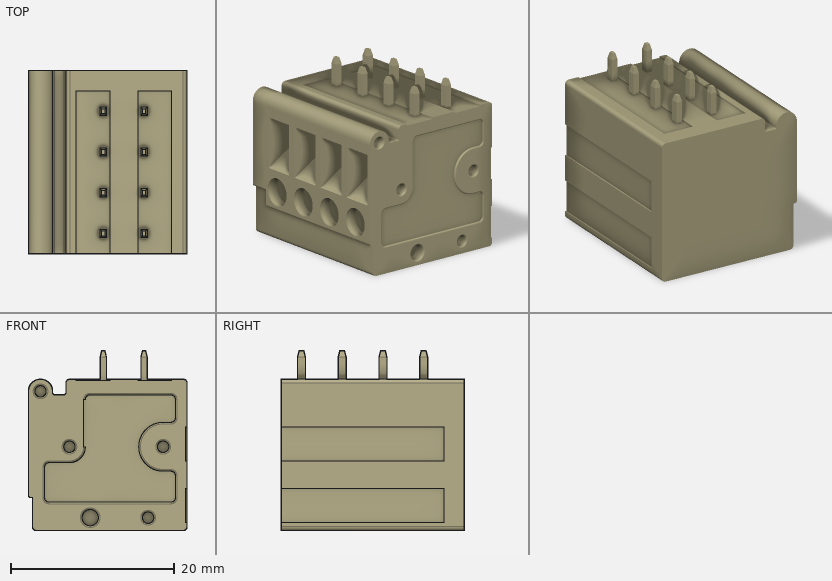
import cadquery as cq
import math

body_width = 19.5
body_length = 22.5
body_height = 18.6
edge_radius = 0.5

rim_radius = 1.5
rim_center_z = body_height - rim_radius
groove_right_x = 4.6
groove_floor_z = 16.7
groove_fillet = 0.2

step_depth = 0.5
step_z = 4.05
step_fillet = 0.3
end_plate_thickness = 2.5
end_step_z = 6.1
module_length = body_length - end_plate_thickness

pole_count = 4
pole_pitch = 5.0

pin_offset = pole_pitch / 2
pin_rows_x = (9.2, 14.2)
pin_size_x = 0.8
pin_size_y = 1.0
pin_top_z = 22.1
pin_tip_height = 0.8
pin_tip_inset = 0.2

panel_depth = 0.2
panel_width = 4.15
top_panels_x = (5.85, 13.45)
back_panels_z = (1.0, 8.55)

pocket_width = 3.95
pocket_offset = 2.475
pocket_depth = 4.2
pocket_bottom_z = 9.2
pocket_top_z = 15.75
pocket_floor_angle = 30
pocket_roof_angle = 9

wire_hole_diameter = 3.6
wire_hole_depth = 1.5
wire_hole_offset = 2.8
wire_hole_z = 6.45

socket_depth = 1.5
socket_rounding = 0.2
small_socket_diameter = 1.4
large_socket_diameter = 2.0
left_socket = (5.05, 10.3)
right_socket = (16.55, 10.3)
rim_socket = (rim_radius, rim_center_z)
lower_socket = (14.7, 1.6)
large_socket = (7.6, 1.6)

recess_depth = 0.22
recess_rounding = 0.2
recess_corner = 0.75
recess_left = 1.8
recess_right = 18.25
recess_bottom = 3.3
recess_top = 16.85
left_pad_radius = 1.75
right_pad_radius = 2.8


def make_profile_block(start_y, end_y, lower_step_z):
    """Housing cross-section extruded between two Y positions."""
    rim_right_x = 2 * rim_radius
    block = (
        cq.Workplane("XZ", origin=(0, start_y, 0))
        .moveTo(step_depth, 0)
        .lineTo(body_width, 0)
        .lineTo(body_width, body_height)
        .lineTo(groove_right_x, body_height)
        .lineTo(groove_right_x, groove_floor_z)
        .lineTo(rim_right_x, groove_floor_z)
        .lineTo(rim_right_x, rim_center_z)
        .threePointArc((rim_radius, body_height), (0, rim_center_z))
        .lineTo(0, lower_step_z)
        .lineTo(step_depth, lower_step_z)
        .close()
        .extrude(start_y - end_y)
    )
    mid_y = (start_y + end_y) / 2

    def fillet_edge(solid, x, z, radius):
        edge = cq.selectors.NearestToPointSelector((x, mid_y, z))
        return solid.edges("|Y").edges(edge).fillet(radius)

    for x, z in ((step_depth, 0), (body_width, 0), (body_width, body_height), (groove_right_x, body_height)):
        block = fillet_edge(block, x, z, edge_radius)
    for x in (rim_right_x, groove_right_x):
        block = fillet_edge(block, x, groove_floor_z, groove_fillet)
    return fillet_edge(block, 0, lower_step_z, step_fillet)


def make_housing():
    module = make_profile_block(0, module_length, step_z)
    end_plate = make_profile_block(module_length, body_length, end_step_z)
    return module.union(end_plate)


def make_panel(corner, size_x, size_z):
    """Shallow slot open at the -Y end and stopping at the end plate."""
    return cq.Workplane(origin=corner).box(size_x, module_length, size_z, centered=False)


def cut_panels(part):
    for x in top_panels_x:
        part = part.cut(make_panel((x, 0, body_height - panel_depth), panel_width, panel_depth))
    for z in back_panels_z:
        part = part.cut(make_panel((body_width - panel_depth, 0, z), panel_depth, panel_width))
    return part


def make_pocket(center_y):
    """Funnel-shaped pocket: sloped floor and roof, vertical back wall."""
    floor_rise = pocket_depth * math.tan(math.radians(pocket_floor_angle))
    roof_drop = pocket_depth * math.tan(math.radians(pocket_roof_angle))
    return (
        cq.Workplane("XZ", origin=(0, center_y, 0))
        .moveTo(0, pocket_bottom_z)
        .lineTo(pocket_depth, pocket_bottom_z + floor_rise)
        .lineTo(pocket_depth, pocket_top_z - roof_drop)
        .lineTo(0, pocket_top_z)
        .close()
        .extrude(pocket_width / 2, both=True)
    )


def make_wire_hole(center_y):
    return (
        cq.Workplane("YZ")
        .center(center_y, wire_hole_z)
        .circle(wire_hole_diameter / 2)
        .extrude(wire_hole_depth)
    )


def make_pin(center_x, center_y):
    shank_bottom_z = body_height - panel_depth
    shank_height = pin_top_z - pin_tip_height - shank_bottom_z
    shank = (
        cq.Workplane(origin=(center_x, center_y, shank_bottom_z))
        .rect(pin_size_x, pin_size_y)
        .extrude(shank_height)
    )
    tip = (
        shank.faces(">Z")
        .workplane()
        .rect(pin_size_x, pin_size_y)
        .workplane(offset=pin_tip_height)
        .rect(pin_size_x - 2 * pin_tip_inset, pin_size_y - 2 * pin_tip_inset)
        .loft(combine=False)
    )
    return shank.union(tip)


def make_socket(center, diameter):
    """Blind round socket with a rounded mouth, revolved about its Y axis."""
    x, z = center
    radius = diameter / 2
    mouth_radius = radius + socket_rounding
    arc_reach = socket_rounding * math.sqrt(0.5)
    return (
        cq.Workplane("XY", origin=(x, 0, z))
        .lineTo(mouth_radius, 0)
        .threePointArc((mouth_radius - arc_reach, socket_rounding - arc_reach), (radius, socket_rounding))
        .lineTo(radius, socket_depth)
        .lineTo(0, socket_depth)
        .close()
        .revolve(360, (0, 0, 0), (0, 1, 0))
    )


def recess_outline(inset):
    """Recess outline on the -Y end face, shrunk inwards from the rim by inset."""
    corner = recess_corner - inset
    left = recess_left + inset
    right = recess_right - inset
    bottom = recess_bottom + inset
    top = recess_top - inset
    left_pad = left_pad_radius + inset
    right_pad = right_pad_radius + inset
    left_x, left_z = left_socket
    right_x, right_z = right_socket
    shoulder_z = left_z - left_pad
    neck_x = left_x + left_pad
    diagonal = math.sqrt(0.5)
    shift = corner * (1 - diagonal)
    return (
        cq.Workplane("XZ")
        .moveTo(left + corner, bottom)
        .lineTo(right - corner, bottom)
        .threePointArc((right - shift, bottom + shift), (right, bottom + corner))
        .lineTo(right, right_z - right_pad - corner)
        .threePointArc(
            (right - shift, right_z - right_pad - shift), (right - corner, right_z - right_pad)
        )
        .lineTo(right_x, right_z - right_pad)
        .threePointArc((right_x - right_pad, right_z), (right_x, right_z + right_pad))
        .lineTo(right - corner, right_z + right_pad)
        .threePointArc(
            (right - shift, right_z + right_pad + shift), (right, right_z + right_pad + corner)
        )
        .lineTo(right, top - corner)
        .threePointArc((right - shift, top - shift), (right - corner, top))
        .lineTo(neck_x + corner, top)
        .threePointArc((neck_x + shift, top - shift), (neck_x, top - corner))
        .lineTo(neck_x, left_z)
        .threePointArc((left_x + left_pad * diagonal, left_z - left_pad * diagonal), (left_x, shoulder_z))
        .lineTo(left + corner, shoulder_z)
        .threePointArc((left + shift, shoulder_z - shift), (left, shoulder_z - corner))
        .lineTo(left, bottom + corner)
        .threePointArc((left + shift, bottom + shift), (left + corner, bottom))
        .close()
    )


def cut_recess(part):
    """Recess with a rounded rim; its straight wall beside the left socket is square instead."""
    part = part.cut(recess_outline(recess_rounding).extrude(-recess_depth))
    rim_point = ((recess_left + recess_right) / 2, 0, recess_bottom + recess_rounding)
    part = part.edges(cq.selectors.NearestToPointSelector(rim_point)).fillet(recess_rounding)
    wall_x = left_socket[0] + left_pad_radius
    wall_height = recess_top - recess_corner - left_socket[1]
    square_wall = (
        cq.Workplane(origin=(wall_x, 0, left_socket[1]))
        .box(recess_rounding, recess_depth, wall_height, centered=False)
    )
    return part.cut(square_wall)


result = cut_panels(make_housing())
result = cut_recess(result)

for pole in range(pole_count):
    pin_y = pin_offset + pole * pole_pitch
    pocket_y = pocket_offset + pole * pole_pitch
    hole_y = wire_hole_offset + pole * pole_pitch
    result = result.cut(make_pocket(pocket_y))
    result = result.cut(make_wire_hole(hole_y))
    for row_x in pin_rows_x:
        result = result.union(make_pin(row_x, pin_y))

for socket_center in (left_socket, right_socket, rim_socket, lower_socket):
    result = result.cut(make_socket(socket_center, small_socket_diameter))
result = result.cut(make_socket(large_socket, large_socket_diameter))